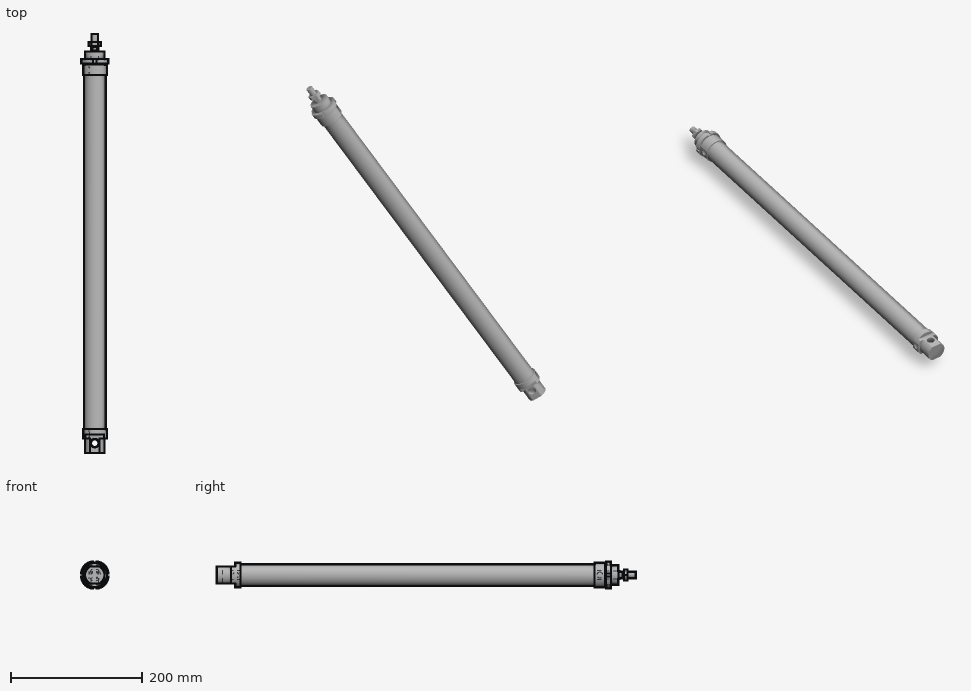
import cadquery as cq
import math

total_length = 639.0
rod_tip = total_length / 2
rear_end = -total_length / 2

rod_diameter = 12.0
thread_diameter = 10.0
thread_length = 20.0
wrench_flats_across = 10.0
wrench_flats_length = 5.0
rod_depth_in_nose = 20.0
shoulder = rod_tip - thread_length

rod_nut_across_flats = 17.0
rod_nut_thickness = 6.0
rod_nut_setback = 12.35
rod_nut_front = rod_tip - rod_nut_setback

nose_diameter = 30.0
collar_diameter = 38.0
rod_projection = 26.6
nose_length = 20.2
nose_front = rod_tip - rod_projection
head_front = nose_front - nose_length
head_length = 16.0
head_rear = head_front - head_length

ring_nut_diameter = 42.0
ring_nut_thickness = 7.0
ring_nut_gap = 1.7
ring_nut_rear = head_front + ring_nut_gap
ring_nut_front = ring_nut_rear + ring_nut_thickness
ring_slot_count = 4
ring_slot_width = 5.0
ring_slot_depth = 2.0

tube_diameter = 33.6

rear_cover_length = 36.5
rear_cover_front = rear_end + rear_cover_length
rear_collar_length = 14.5
rear_collar_rear = rear_cover_front - rear_collar_length
tongue_across_flats = 26.0
tongue_flats_length = 28.0
pivot_diameter = 12.0
pivot_from_end = 15.2

port_diameter = 8.8
port_depth = 10.0
port_flat_width = 13.5
port_flat_offset = math.sqrt((collar_diameter / 2) ** 2 - (port_flat_width / 2) ** 2)


def cylinder(diameter, y_front, y_rear):
    """Solid cylinder on the Y axis between two Y positions."""
    plane = cq.Workplane("XZ", origin=(0, y_front, 0))
    return plane.circle(diameter / 2).extrude(y_front - y_rear)


def block(size_x, size_y, size_z, centre):
    """Box with its centre at the given point."""
    return cq.Workplane("XY").box(size_x, size_y, size_z).translate(centre)


def cut_port(body, y_front, y_rear):
    """Mill the flat along a collar and drill its port hole."""
    y_middle = (y_front + y_rear) / 2
    flat_centre = (-port_flat_offset - collar_diameter / 2, y_middle, 0)
    body = body.cut(block(collar_diameter, y_front - y_rear, collar_diameter, flat_centre))
    plane = cq.Workplane("YZ", origin=(-port_flat_offset, y_middle, 0))
    return body.cut(plane.circle(port_diameter / 2).extrude(port_depth))


def make_front_head():
    nose = cylinder(nose_diameter, nose_front, head_front)
    collar = cylinder(collar_diameter, head_front, head_rear)
    return nose.union(cut_port(collar, head_front, head_rear))


def make_rear_cover():
    collar = cylinder(collar_diameter, rear_cover_front, rear_collar_rear)
    collar = cut_port(collar, rear_cover_front, rear_collar_rear)
    cover = collar.union(cylinder(nose_diameter, rear_collar_rear, rear_end))

    for side in (-1, 1):
        z_middle = side * (tongue_across_flats + collar_diameter) / 2
        y_middle = rear_end + tongue_flats_length / 2
        centre = (0, y_middle, z_middle)
        cover = cover.cut(block(collar_diameter, tongue_flats_length, collar_diameter, centre))

    pivot = cq.Workplane("XY", origin=(0, rear_end + pivot_from_end, 0)).circle(pivot_diameter / 2)
    return cover.cut(pivot.extrude(tongue_across_flats, both=True))


def make_housing():
    """Front head, tube and rear cover as one body, bored for the rod."""
    tube = cylinder(tube_diameter, head_rear, rear_cover_front)
    body = make_front_head().union(tube).union(make_rear_cover())
    return body.cut(cylinder(rod_diameter, nose_front, nose_front - rod_depth_in_nose))


def make_rod():
    shank = cylinder(rod_diameter, shoulder, nose_front - rod_depth_in_nose)
    for side in (-1, 1):
        z_middle = side * (wrench_flats_across + rod_diameter) / 2
        y_middle = shoulder - wrench_flats_length / 2
        shank = shank.cut(block(rod_diameter, wrench_flats_length, rod_diameter, (0, y_middle, z_middle)))
    return shank.union(cylinder(thread_diameter, rod_tip, shoulder))


def make_rod_nut():
    corner_diameter = rod_nut_across_flats / math.cos(math.pi / 6)
    plane = cq.Workplane("XZ", origin=(0, rod_nut_front, 0))
    nut = plane.polygon(6, corner_diameter).extrude(rod_nut_thickness)
    return nut.cut(cylinder(thread_diameter, rod_nut_front, rod_nut_front - rod_nut_thickness))


def make_ring_nut():
    """Round nut with hook-spanner slots through its rim."""
    nut = cylinder(ring_nut_diameter, ring_nut_front, ring_nut_rear)
    nut = nut.cut(cylinder(nose_diameter, ring_nut_front, ring_nut_rear))
    slot_centre = (0, (ring_nut_front + ring_nut_rear) / 2, ring_nut_diameter / 2)
    slot = block(ring_slot_width, ring_nut_thickness, 2 * ring_slot_depth, slot_centre)
    for index in range(ring_slot_count):
        nut = nut.cut(slot.rotate((0, 0, 0), (0, 1, 0), index * 360 / ring_slot_count))
    return nut


housing = make_housing()
rod = make_rod()
rod_nut = make_rod_nut()
ring_nut = make_ring_nut()

result = cq.Compound.makeCompound([housing.val(), rod.val(), rod_nut.val(), ring_nut.val()])